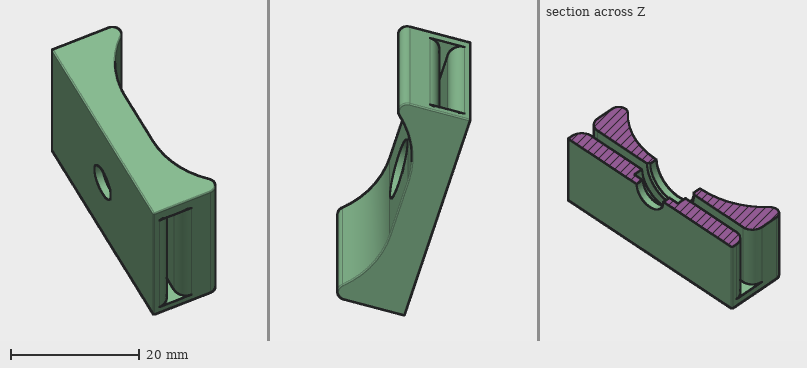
import cadquery as cq
import math

width = 36.0
depth = 11.3
height = 26.0
edge_radius = 0.2

cradle_floor_y = 6.3
cradle_flat = 10.0
tip_radius = 1.45

hole_diameter = 5.8
head_bore_diameter = 9.5
screw_seat_y = 1.4
head_bore_lead = 0.35

slot_gap = 1.45
slot_center_y = 3.8
slot_bottom_z = 1.6
slot_height = 22.2
mouth_width = 5.6

mid_x = width / 2


def make_body():
    """Block with a cradle whose arcs run smoothly into the floor and the rounded tips."""
    tip_x = tip_radius
    tip_y = depth - tip_radius
    arc_x = mid_x - cradle_flat / 2
    run = arc_x - tip_x
    rise = tip_y - cradle_floor_y
    arc_radius = (run**2 + rise**2 - tip_radius**2) / (2 * (tip_radius + rise))
    arc_y = cradle_floor_y + arc_radius
    contact_angle = math.atan2(arc_y - tip_y, run)

    def on_tip(angle):
        return (tip_x + tip_radius * math.cos(angle), tip_y + tip_radius * math.sin(angle))

    def on_arc(angle):
        return (arc_x + arc_radius * math.cos(angle), arc_y + arc_radius * math.sin(angle))

    def mirrored(point):
        return (width - point[0], point[1])

    contact = on_tip(contact_angle)
    tip_middle = on_tip((math.pi + contact_angle) / 2)
    arc_middle = on_arc((math.pi + contact_angle + 1.5 * math.pi) / 2)
    floor_end = (arc_x, cradle_floor_y)

    return (
        cq.Workplane("XY")
        .moveTo(0, 0)
        .lineTo(0, tip_y)
        .threePointArc(tip_middle, contact)
        .threePointArc(arc_middle, floor_end)
        .lineTo(*mirrored(floor_end))
        .threePointArc(mirrored(arc_middle), mirrored(contact))
        .threePointArc(mirrored(tip_middle), (width, tip_y))
        .lineTo(width, 0)
        .close()
        .extrude(height)
        .faces("<Y or <Z or >Z")
        .edges()
        .fillet(edge_radius)
    )


def make_slot():
    """Through slot whose side walls open out as quarter rounds at each mouth."""
    half_mouth = mouth_width / 2
    half_gap = slot_gap / 2
    flare_radius = half_mouth - half_gap

    wall = (
        cq.Workplane("XY")
        .moveTo(0, half_mouth)
        .radiusArc((flare_radius, half_gap), -flare_radius)
        .lineTo(width - flare_radius, half_gap)
        .radiusArc((width, half_mouth), -flare_radius)
        .close()
        .extrude(slot_height)
    )
    return (
        cq.Workplane("XY")
        .rect(width, mouth_width)
        .extrude(slot_height)
        .translate((mid_x, 0, 0))
        .cut(wall)
        .cut(wall.mirror("XZ"))
        .translate((0, slot_center_y, slot_bottom_z))
    )


def make_bore(diameter, start_y):
    """Round bore along Y on the block's center, from start_y out through the back."""
    return (
        cq.Workplane("XZ", origin=(mid_x, start_y, height / 2))
        .circle(diameter / 2)
        .extrude(start_y - depth)
    )


def make_lead():
    """Rounded rim where the slot's rear wall meets the head bore."""
    bore_radius = head_bore_diameter / 2
    rim_y = slot_center_y + slot_gap / 2
    return (
        cq.Workplane("XY", origin=(mid_x, 0, height / 2))
        .moveTo(0, rim_y)
        .lineTo(bore_radius + head_bore_lead, rim_y)
        .radiusArc((bore_radius, rim_y + head_bore_lead), -head_bore_lead)
        .lineTo(0, rim_y + head_bore_lead)
        .close()
        .revolve(360, (0, 0, 0), (0, 1, 0))
    )


screw_hole = make_bore(hole_diameter, 0)
head_bore = make_bore(head_bore_diameter, screw_seat_y)
result = make_body().cut(make_slot()).cut(screw_hole).cut(head_bore).cut(make_lead())